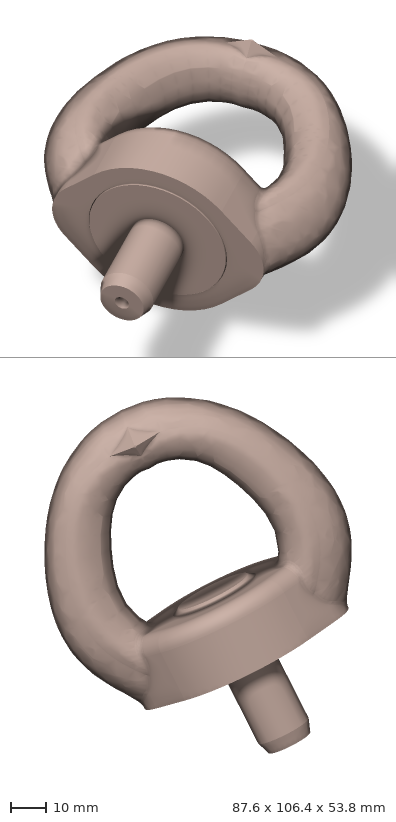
import cadquery as cq
import math


HUB_RADIUS = 26.9
HUB_LENGTH = 20.3
HUB_EDGE_RADIUS = 5.0
HUB_END_REACH = 32.1
HUB_END_RADIUS = 13.5
ROOT_FILLET = 2.1

LOOP_SECTIONS = [
    ((0, 61.1), (0, 79.4), 0.52, 9.8),
    ((7.7, 60.0), (15.1, 76.0), 0.6, 10.1),
    ((14.9, 54.5), (28.5, 66.0), 0.68, 10.6),
    ((21.3, 42.0), (40.1, 46.8), 0.66, 11.7),
    ((23.4, 29.8), (43.8, 30.3), 0.61, 12.8),
    ((17.6, 17.6), (40.4, 14.7), 0.58, 13.0),
    ((8.5, 0), (HUB_END_REACH, 0), 0.5, 11.7),
]

RIDGE_POINT = (0, 0.92)
OUTER_FLANK = [(0.5, 0.73), (0.85, 0.39)]
INNER_FLANK = [(0.28, 1.0), (0.78, 0.68)]

SPIKE_Y = 70.5
SPIKE_TIP_Z = 13.2
SPIKE_BASE_Z = 6.0
SPIKE_BASE_HALF_X = 13.8
SPIKE_BASE_OUTER_Y = 5.5
SPIKE_BASE_INNER_Y = 7.2
SPIKE_TIP_HALF_X = 0.6
SPIKE_TIP_HALF_Y = 0.3

RECESS_DIAMETER = 42.0
FLANGE_DIAMETER = 41.5
FLANGE_SEAT = 4.3
FLANGE_PROUD = 0.3
BUSH_DIAMETER = 32.0

COLLAR_DIAMETER = 26.0
CAP_DIAMETER = 21.9
CAP_PROUD = 1.2
CAP_TAPER_LENGTH = 1.5
SHANK_DIAMETER = 16.0
SHANK_TIP_DIAMETER = 13.2
SHANK_TAPER_LENGTH = 3.8
SHANK_LENGTH = 27.0
CENTRE_HOLE_DIAMETER = 2.0
CENTRE_HOLE_DEPTH = 4.3
CENTRE_SINK_DIAMETER = 4.4
CENTRE_SINK_ANGLE = 60.0


def cylinder(diameter, start_y, end_y):
    """A round bar on the Y axis."""
    return cq.Workplane("XZ", origin=(0, start_y, 0)).circle(diameter / 2).extrude(start_y - end_y)


def make_hub():
    """A large disc with tangent flanks running out to two smaller rounded ends."""
    end_centre = HUB_END_REACH - HUB_END_RADIUS
    tangent_cos = (HUB_RADIUS - HUB_END_RADIUS) / end_centre
    tangent_sin = math.sqrt(1 - tangent_cos**2)
    disc_x, disc_z = HUB_RADIUS * tangent_cos, HUB_RADIUS * tangent_sin
    end_x, end_z = end_centre + HUB_END_RADIUS * tangent_cos, HUB_END_RADIUS * tangent_sin
    outline = (
        cq.Workplane("XZ")
        .moveTo(-disc_x, disc_z)
        .threePointArc((0, HUB_RADIUS), (disc_x, disc_z))
        .lineTo(end_x, end_z)
        .threePointArc((HUB_END_REACH, 0), (end_x, -end_z))
        .lineTo(disc_x, -disc_z)
        .threePointArc((0, -HUB_RADIUS), (-disc_x, -disc_z))
        .lineTo(-end_x, -end_z)
        .threePointArc((-HUB_END_REACH, 0), (-end_x, end_z))
        .close()
    )
    return outline.extrude(-HUB_LENGTH).faces(">Y").edges().fillet(HUB_EDGE_RADIUS)


def loop_section(inner, outer, ridge, half_thickness):
    """One cross-section of the loop: an outer and an inner curve that meet on the two ridges."""
    inner_point = cq.Vector(*inner)
    span = cq.Vector(*outer) - inner_point
    ridge_centre = inner_point + span * ridge

    def half_curve(reach, flank):
        upper = [RIDGE_POINT] + flank
        lower = [(along, -height) for along, height in reversed(upper)]
        return cq.Edge.makeSpline([
            ridge_centre + span * (reach * along) + cq.Vector(0, 0, half_thickness * height)
            for along, height in upper + [(1, 0)] + lower
        ])

    return cq.Wire.assembleEdges([half_curve(1 - ridge, OUTER_FLANK), half_curve(-ridge, INNER_FLANK)])


def make_half_loop():
    """Half of the loop on the +X side, running into the hub."""
    return cq.Workplane(obj=cq.Solid.makeLoft([loop_section(*section) for section in LOOP_SECTIONS]))


def fillet_loop_roots(body):
    """Round the curved edges where the loop meets the hub, above the bearing face."""
    root_edges = []
    for edge in body.edges("%BSPLINE").vals():
        box = edge.BoundingBox()
        if 0 < box.ymin and box.ymax < HUB_LENGTH + HUB_EDGE_RADIUS:
            root_edges.append(edge)
    return body.newObject(root_edges).fillet(ROOT_FILLET)


def make_crown_spike():
    """A four-sided spike with a small blunt tip, rooted inside the crown."""

    def kite(half_x, outer_y, inner_y, z):
        corners = [(half_x, 0), (0, outer_y), (-half_x, 0), (0, -inner_y)]
        return cq.Wire.makePolygon([cq.Vector(x, SPIKE_Y + y, z) for x, y in corners], close=True)

    base = kite(SPIKE_BASE_HALF_X, SPIKE_BASE_OUTER_Y, SPIKE_BASE_INNER_Y, SPIKE_BASE_Z)
    tip = kite(SPIKE_TIP_HALF_X, SPIKE_TIP_HALF_Y, SPIKE_TIP_HALF_Y, SPIKE_TIP_Z)
    return cq.Workplane(obj=cq.Solid.makeLoft([base, tip], True))


def make_eye():
    """Hub and loop in one piece, with spikes on the crown and a stepped bore for the bush."""
    half_loop = make_half_loop()
    body = make_hub().union(half_loop).union(half_loop.mirror("YZ"))
    body = fillet_loop_roots(body)
    spike = make_crown_spike()
    body = body.union(spike).union(spike.mirror("XY"))
    recess = cylinder(RECESS_DIAMETER, 0, FLANGE_SEAT)
    bore = cylinder(BUSH_DIAMETER, 0, HUB_LENGTH)
    return body.cut(recess).cut(bore)


def make_bush():
    """Flanged bush, flush with the far face of the hub."""
    flange = cylinder(FLANGE_DIAMETER, -FLANGE_PROUD, FLANGE_SEAT)
    sleeve = cylinder(BUSH_DIAMETER, FLANGE_SEAT, HUB_LENGTH)
    bore = cylinder(COLLAR_DIAMETER, -FLANGE_PROUD, HUB_LENGTH)
    return flange.union(sleeve).cut(bore)


def make_stud():
    """Turned stud: tapered shank tip, collar in the bush, tapered cap and a centre hole in the tip."""
    cap_end = HUB_LENGTH + CAP_PROUD
    profile = [
        (0, -SHANK_LENGTH),
        (SHANK_TIP_DIAMETER / 2, -SHANK_LENGTH),
        (SHANK_DIAMETER / 2, -SHANK_LENGTH + SHANK_TAPER_LENGTH),
        (SHANK_DIAMETER / 2, -FLANGE_PROUD),
        (COLLAR_DIAMETER / 2, -FLANGE_PROUD),
        (COLLAR_DIAMETER / 2, cap_end - CAP_TAPER_LENGTH),
        (CAP_DIAMETER / 2, cap_end),
        (0, cap_end),
    ]
    body = cq.Workplane("XY").polyline(profile).close().revolve(360, (0, 0, 0), (0, 1, 0))
    return (
        body.faces("<Y").workplane(centerOption="CenterOfBoundBox")
        .cskHole(CENTRE_HOLE_DIAMETER, CENTRE_SINK_DIAMETER, CENTRE_SINK_ANGLE, CENTRE_HOLE_DEPTH)
    )


eye = make_eye()
bush = make_bush()
stud = make_stud()
result = cq.Compound.makeCompound([eye.solids().val(), bush.solids().val(), stud.solids().val()])